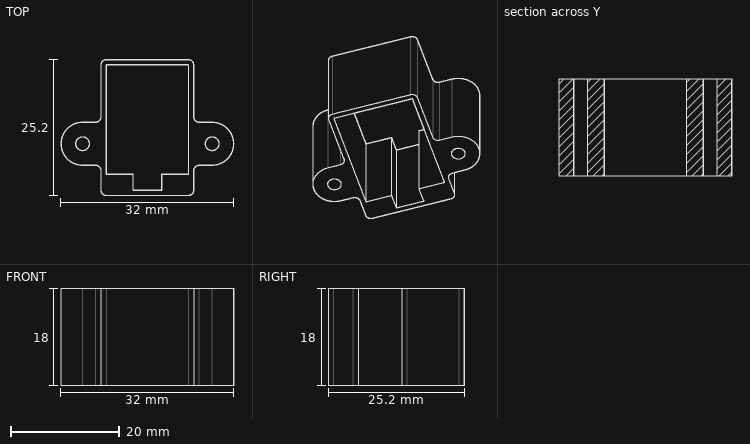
import cadquery as cq

height = 18.0
wall = 1.0
edge_radius = 1.0

cavity_width = 15.2
cavity_length = 20.2
front_wall = 4.0
slot_width = 5.3

hole_spacing = 24.0
hole_diameter = 2.5
ear_radius = 4.0
ear_offset_y = -3.0

body_width = cavity_width + 2 * wall
body_length = wall + cavity_length + front_wall
front_y = -body_length / 2
cavity_front_y = front_y + front_wall
slot_depth = front_wall - wall


def rectangle_prism(width, length, y_start):
    """Full-height prism centred on X, reaching from y_start toward +Y."""
    return cq.Workplane("XY").box(
        width, length, height, centered=(True, False, False)
    ).translate((0, y_start, 0))


def make_outer_shape():
    """Rectangular body with rounded ears on both sides."""
    body = rectangle_prism(body_width, body_length, front_y)
    ears = (
        cq.Workplane("XY")
        .center(0, ear_offset_y)
        .slot2D(hole_spacing + 2 * ear_radius, 2 * ear_radius)
        .extrude(height)
    )
    return round_side_edges(body.union(ears))


def round_side_edges(solid):
    """Round the vertical edges on the two side planes of the body."""
    margin = 0.1
    half_width = body_width / 2
    for side in (-1, 1):
        selector = cq.selectors.BoxSelector(
            (side * half_width - margin, front_y - margin, -margin),
            (side * half_width + margin, -front_y + margin, height + margin),
        )
        solid = solid.edges("|Z").edges(selector).fillet(edge_radius)
    return solid


def make_cavity():
    """Through opening with the slot cut into the thick front wall."""
    cavity = rectangle_prism(cavity_width, cavity_length, cavity_front_y)
    slot = rectangle_prism(slot_width, slot_depth, cavity_front_y - slot_depth)
    return cavity.union(slot)


def make_ear_holes():
    """Through holes at the ear centres."""
    half_spacing = hole_spacing / 2
    return (
        cq.Workplane("XY")
        .center(0, ear_offset_y)
        .pushPoints([(-half_spacing, 0), (half_spacing, 0)])
        .circle(hole_diameter / 2)
        .extrude(height)
    )


result = make_outer_shape().cut(make_cavity()).cut(make_ear_holes())